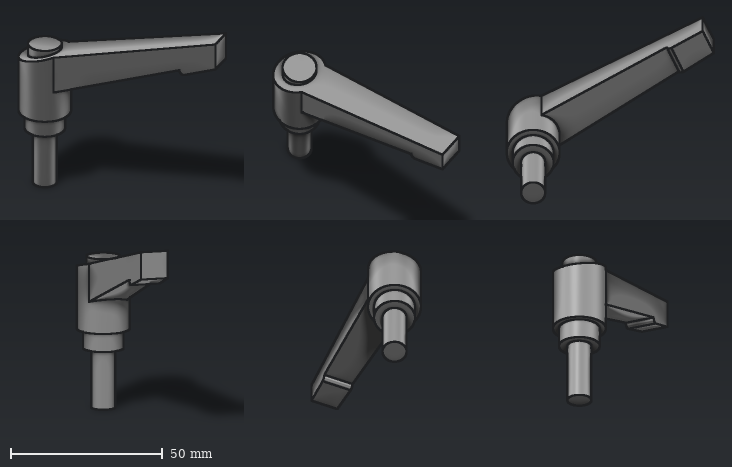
import cadquery as cq
import math

stud_diameter = 8.0
stud_length = 20.0
collar_diameter = 13.5
collar_height = 6.5
hub_diameter = 17.5
hub_edge_height = 46.0

button_diameter = 11.2
button_top = 51.0

overall_length = 71.75
overall_height = 65.0
underside_angle = 20.0
arm_root_bottom = 37.0
arm_root_width = 13.1
arm_tip_width = 9.15

stop_x = 50.25
stop_round_length = 1.65
stop_bulge = 0.45
tip_height = 9.25

hub_radius = hub_diameter / 2
hub_bottom = stud_length + collar_height
tip_x = overall_length - hub_radius
tip_bottom = overall_height - tip_height
arm_root_x = math.sqrt(hub_radius**2 - (arm_root_width / 2) ** 2)
top_slope = (overall_height - hub_edge_height) / overall_length
underside_slope = math.tan(math.radians(underside_angle))


def cylinder(diameter, bottom, top):
    return cq.Workplane("XY").workplane(offset=bottom).circle(diameter / 2).extrude(top - bottom)


def top_z(x):
    """Height of the sloping top plane shared by hub and arm."""
    return hub_edge_height + top_slope * (x + hub_radius)


def make_hub():
    """Cylinder cut off by the sloping top plane."""
    outline = [
        (-hub_radius, hub_bottom),
        (hub_radius, hub_bottom),
        (hub_radius, top_z(hub_radius)),
        (-hub_radius, hub_edge_height),
    ]
    slab = cq.Workplane("XZ").polyline(outline).close().extrude(hub_radius, both=True)
    return slab.intersect(cylinder(hub_diameter, hub_bottom, overall_height))


def make_arm():
    """Arm with a stepped underside, starting at the hub surface and narrowing toward the tip."""
    stop_top = arm_root_bottom + underside_slope * (stop_x - arm_root_x)
    nose_x = stop_x + stop_round_length
    nose_z = tip_bottom - underside_slope * (tip_x - nose_x)
    side = (
        cq.Workplane("XZ")
        .moveTo(arm_root_x, top_z(arm_root_x))
        .lineTo(arm_root_x, arm_root_bottom)
        .lineTo(stop_x, stop_top)
        .sagittaArc((nose_x, nose_z), -stop_bulge)
        .lineTo(tip_x, tip_bottom)
        .lineTo(tip_x, overall_height)
        .close()
        .extrude(hub_radius, both=True)
    )
    root_half = arm_root_width / 2
    tip_half = arm_tip_width / 2
    corners = [
        (arm_root_x, -root_half),
        (tip_x, -tip_half),
        (tip_x, tip_half),
        (arm_root_x, root_half),
    ]
    plan = cq.Workplane("XY").polyline(corners).close().extrude(overall_height)
    return side.intersect(plan)


stud = cylinder(stud_diameter, 0, stud_length)
collar = cylinder(collar_diameter, stud_length, hub_bottom)
button = cylinder(button_diameter, hub_bottom, button_top)
result = stud.union(collar).union(make_hub()).union(button).union(make_arm())